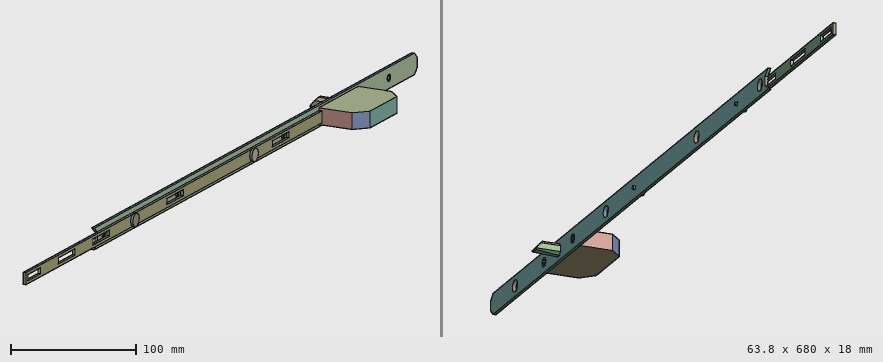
import cadquery as cq
import math


OVERALL_LENGTH = 680.0

PLATE_THICKNESS = 2.5
PLATE_WIDTH = 18.0
PLATE_TOP = 136.0
PLATE_BOTTOM = -420.5
PLATE_CHAMFER = 5.0
NOTCH_DEPTH = 6.0
NOTCH_FLOOR_WIDTH = 8.0
FIXING_HOLE_DIAMETER = 5.5
FIXING_SINK_DIAMETER = 10.0
SINK_ANGLE = 90.0
FIXING_PITCH = 182.0
PITCHED_FIXINGS = 3
FIRST_FIXING = 87.0
LAST_FIXING = -404.0
FIXING_POSITIONS = [FIRST_FIXING - i * FIXING_PITCH for i in range(PITCHED_FIXINGS)] + [LAST_FIXING]

CASE_LENGTH = 67.5
CASE_DEPTH = 40.5
CASE_THICKNESS = 14.0
CASE_CHAMFER = 10.5

BOLT_WIDTH = 8.5
BOLT_HEIGHT = 10.0
BOLT_CHAMFER = 2.5
BOLT_PROJECTION = 20.84
BOLT_NOSE_LENGTH = 6.3
BOLT_NOSE_DROP = 7.0
BOLT_UNDERSIDE_RISE = 1.5

BAR_THICKNESS = 2.5
BAR_WIDTH = 10.0
BAR_CLEARANCE = 0.5
BAR_TOP = -CASE_LENGTH / 2
BAR_BOTTOM = PLATE_TOP - OVERALL_LENGTH
SLOT_WIDTH = 5.0
SLOT_LENGTH = 28.5
SLOT_PITCH = 59.5
SLOT_LEAD = 4.5
EXPOSED_SLOTS = 2
END_WALL = 4.0

SCREW_OFFSET = 28.8
SCREW_POSITIONS = [SCREW_OFFSET, -SCREW_OFFSET]
SCREW_HEAD_DIAMETER = 7.5
SCREW_SHANK_DIAMETER = 4.0
SCREW_LENGTH = 6.0
SOCKET_WIDTH = 4.0
SOCKET_DEPTH = 1.5
SOCKET_SIDES = 6

RIVET_POSITIONS = [-153.0, -358.0]
RIVET_PIN_DIAMETER = 3.0
RIVET_PROJECTION = 1.5
RIVET_HEAD_DIAMETER = 11.0
RIVET_HEAD_THICKNESS = 2.0

BAR_FRONT = PLATE_THICKNESS + BAR_CLEARANCE
BAR_BACK = BAR_FRONT + BAR_THICKNESS


def cylinder(diameter, x_start, x_end, y):
    """Cylinder along X between two X places, on the centre line at the given Y."""
    return cq.Workplane("YZ", origin=(x_start, y, 0)).circle(diameter / 2).extrude(x_end - x_start)


def countersink(diameter, y):
    """Cone that narrows from the visible face of the faceplate to a point inside."""
    radius = diameter / 2
    depth = radius / math.tan(math.radians(SINK_ANGLE / 2))
    return cq.Workplane(cq.Solid.makeCone(radius, 0, depth, cq.Vector(0, y, 0), cq.Vector(1, 0, 0)))


def make_screw(y):
    """Countersunk screw, flush with the faceplate, before its socket is cut."""
    shank = cylinder(SCREW_SHANK_DIAMETER, 0, SCREW_LENGTH, y)
    return shank.union(countersink(SCREW_HEAD_DIAMETER, y))


def make_socket(y):
    """Hexagon socket in a screw head."""
    across_corners = SOCKET_WIDTH / math.cos(math.pi / SOCKET_SIDES)
    return cq.Workplane("YZ", origin=(0, y, 0)).polygon(SOCKET_SIDES, across_corners).extrude(SOCKET_DEPTH)


def make_rivet(y):
    """Pin through faceplate and drive bar, with a round head behind the bar."""
    pin = cylinder(RIVET_PIN_DIAMETER, -RIVET_PROJECTION, BAR_BACK, y)
    head = cylinder(RIVET_HEAD_DIAMETER, BAR_BACK, BAR_BACK + RIVET_HEAD_THICKNESS, y)
    return pin.union(head)


def make_bolt():
    """Latch bolt with chamfered long edges, a sloping nose and a rising underside."""
    rod = (
        cq.Workplane("YZ", origin=(-BOLT_PROJECTION, 0, 0))
        .rect(BOLT_WIDTH, BOLT_HEIGHT)
        .extrude(BOLT_PROJECTION + PLATE_THICKNESS)
        .edges("|X")
        .chamfer(BOLT_CHAMFER)
    )
    half = BOLT_HEIGHT / 2
    side_profile = (
        cq.Workplane("XZ", origin=(0, BOLT_WIDTH / 2, 0))
        .moveTo(PLATE_THICKNESS, half)
        .lineTo(-BOLT_PROJECTION + BOLT_NOSE_LENGTH, half)
        .lineTo(-BOLT_PROJECTION, half - BOLT_NOSE_DROP)
        .lineTo(-BOLT_PROJECTION, -half + BOLT_UNDERSIDE_RISE)
        .lineTo(0, -half)
        .lineTo(PLATE_THICKNESS, -half)
        .close()
        .extrude(BOLT_WIDTH)
    )
    return rod.intersect(side_profile)


def make_plate(fitted_bodies):
    """Faceplate with a chamfered top end, a matching notch at the bottom and all its holes."""
    half = PLATE_WIDTH / 2
    floor_half = NOTCH_FLOOR_WIDTH / 2
    outline = [
        (PLATE_BOTTOM, half),
        (PLATE_TOP - PLATE_CHAMFER, half),
        (PLATE_TOP, half - PLATE_CHAMFER),
        (PLATE_TOP, -half + PLATE_CHAMFER),
        (PLATE_TOP - PLATE_CHAMFER, -half),
        (PLATE_BOTTOM, -half),
        (PLATE_BOTTOM + NOTCH_DEPTH, -floor_half),
        (PLATE_BOTTOM + NOTCH_DEPTH, floor_half),
    ]
    plate = cq.Workplane("YZ").polyline(outline).close().extrude(PLATE_THICKNESS)
    for y in FIXING_POSITIONS:
        plate = plate.cut(cylinder(FIXING_HOLE_DIAMETER, 0, PLATE_THICKNESS, y))
        plate = plate.cut(countersink(FIXING_SINK_DIAMETER, y))
    for body in fitted_bodies:
        plate = plate.cut(body)
    return plate


def make_case(screws):
    """Lock case behind the faceplate, with its two rear corners cut off."""
    case = (
        cq.Workplane("XY")
        .box(CASE_DEPTH, CASE_LENGTH, CASE_THICKNESS, centered=(False, True, True))
        .translate((PLATE_THICKNESS, 0, 0))
        .edges("|Z and >X")
        .chamfer(CASE_CHAMFER)
    )
    for screw in screws:
        case = case.cut(screw)
    return case


def make_bar(rivets):
    """Drive bar along the back of the faceplate, from the case to below the faceplate."""

    def block(width, top, bottom):
        return (
            cq.Workplane("XY")
            .box(BAR_THICKNESS, top - bottom, width, centered=(False, False, True))
            .translate((BAR_FRONT, bottom, 0))
        )

    bar = block(BAR_WIDTH, BAR_TOP, BAR_BOTTOM)
    slot_tops = [y + SLOT_LEAD for y in FIXING_POSITIONS if y < BAR_TOP]
    for _ in range(EXPOSED_SLOTS):
        slot_tops.append(slot_tops[-1] - SLOT_PITCH)
    for top in slot_tops:
        bottom = max(top - SLOT_LENGTH, BAR_BOTTOM + END_WALL)
        bar = bar.cut(block(SLOT_WIDTH, top, bottom))
    for rivet in rivets:
        bar = bar.cut(rivet)
    return bar


bolt = make_bolt()
rivets = [make_rivet(y) for y in RIVET_POSITIONS]
solid_screws = [make_screw(y) for y in SCREW_POSITIONS]
screws = [make_screw(y).cut(make_socket(y)) for y in SCREW_POSITIONS]
plate = make_plate([bolt] + rivets + solid_screws)
case = make_case(solid_screws)
bar = make_bar(rivets)

bodies = [plate, case, bolt, bar] + rivets + screws
result = cq.Compound.makeCompound([body.val() for body in bodies])